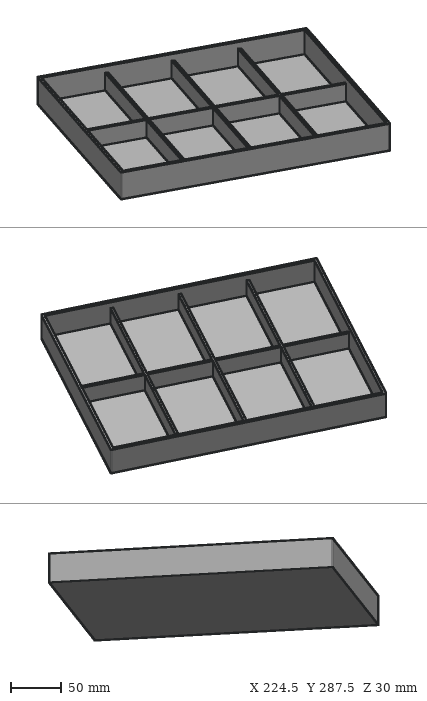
import cadquery as cq

width = 224.5
length = 287.5
height = 30.0
wall = 3.2
floor = 3.0
corner_radius = 1.0

columns = 2
rows = 4
divider = 3.0
divider_drop = 7.5

inner_width = width - 2 * wall
inner_length = length - 2 * wall
divider_height = height - floor - divider_drop


def divider_positions(span, count):
    """Centres of the dividers that split a span into equal compartments."""
    pitch = (span + divider) / count
    return [(i - count / 2) * pitch for i in range(1, count)]


def make_divider(size_x, size_y, x, y):
    """Upright divider standing on the tray floor."""
    return (
        cq.Workplane("XY", origin=(x, y, floor))
        .box(size_x, size_y, divider_height, centered=(True, True, False))
    )


tray = (
    cq.Workplane("XY")
    .box(width, length, height, centered=(True, True, False))
    .edges("|Z")
    .fillet(corner_radius)
)
cavity = (
    cq.Workplane("XY", origin=(0, 0, floor))
    .box(inner_width, inner_length, height, centered=(True, True, False))
)
result = tray.cut(cavity)

for x in divider_positions(inner_width, columns):
    result = result.union(make_divider(divider, inner_length, x, 0))
for y in divider_positions(inner_length, rows):
    result = result.union(make_divider(inner_width, divider, 0, y))